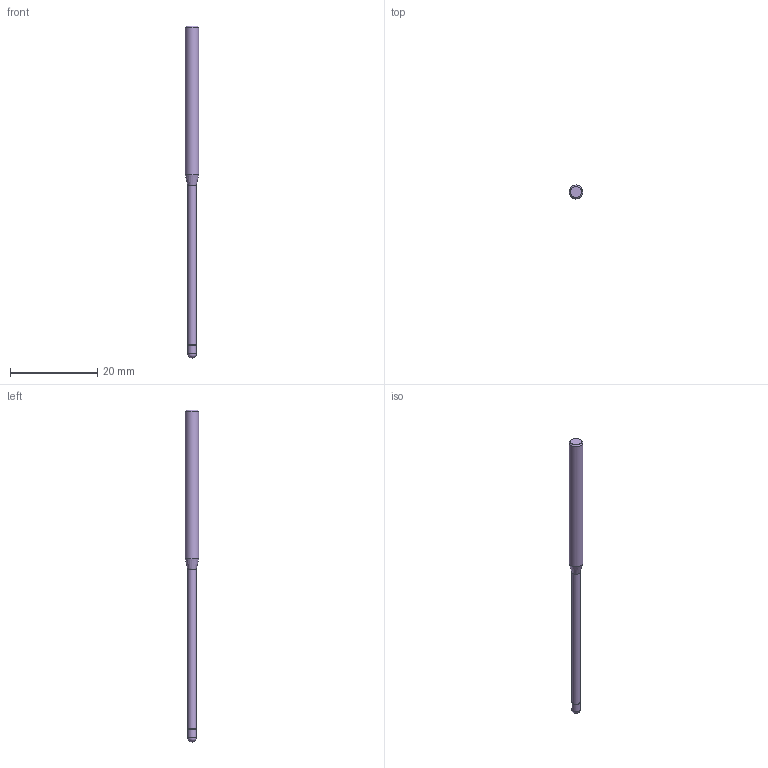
import cadquery as cq
import math

total_length = 76.2
shank_diameter = 3.175

cutter_diameter = 2.0
cutter_length = 2.97

neck_diameter = 1.88
neck_end_height = 39.6
shoulder_end_height = 42.1
end_chamfer = 0.3

shank_radius = shank_diameter / 2
cutter_radius = cutter_diameter / 2
neck_radius = neck_diameter / 2
neck_step = cutter_radius - neck_radius


def revolve_about_z(profile):
    """Turn an open half profile that starts and ends on the Z axis into a solid."""
    return profile.close().revolve(360, (0, 0, 0), (0, 1, 0))


def make_cutter():
    """Cylinder with a hemispherical lower end."""
    arc_middle = cutter_radius * math.sqrt(0.5)
    profile = (
        cq.Workplane("XZ")
        .threePointArc((arc_middle, cutter_radius - arc_middle), (cutter_radius, cutter_radius))
        .lineTo(cutter_radius, cutter_length)
        .lineTo(0, cutter_length)
    )
    return revolve_about_z(profile)


def make_holder():
    """Neck, conical shoulder and chamfered shank, standing on the flat top of the cutter."""
    profile = (
        cq.Workplane("XZ")
        .moveTo(0, cutter_length)
        .lineTo(cutter_radius, cutter_length)
        .lineTo(neck_radius, cutter_length + neck_step)
        .lineTo(neck_radius, neck_end_height)
        .lineTo(shank_radius, shoulder_end_height)
        .lineTo(shank_radius, total_length - end_chamfer)
        .lineTo(shank_radius - end_chamfer, total_length)
        .lineTo(0, total_length)
    )
    return revolve_about_z(profile)


cutter = make_cutter()
holder = make_holder()

result = cq.Compound.makeCompound([cutter.val(), holder.val()])